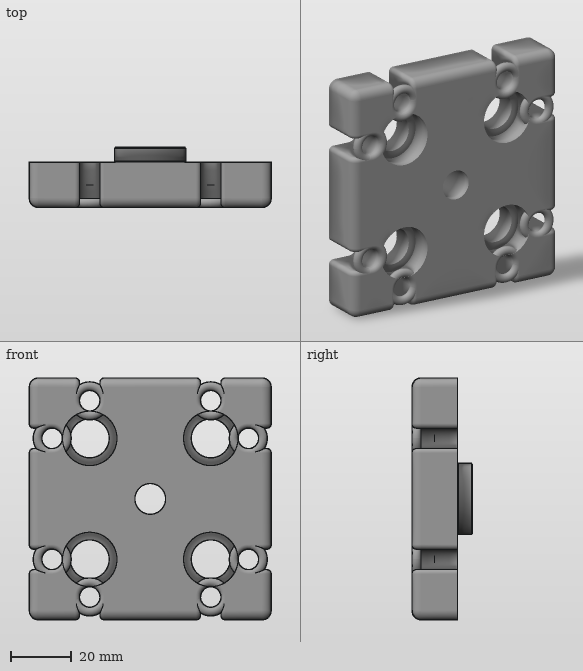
import cadquery as cq

plate_width = 80.0
plate_thickness = 15.0
plate_rounding = 3.0
center_hole_diameter = 10.1

hole_offset = 20.0
hole_diameter = 12.8
counterbore_diameter = 18.0
counterbore_depth = 7.5

slot_width = 6.6
slot_end_inset = 7.6
slot_rounding = 1.5

bead_clearance = 0.04
bead_tube_radius = slot_rounding - bead_clearance
bead_ring_radius = slot_width / 2 + slot_rounding

overall_depth = 20.0
collar_diameter = 23.7
collar_bore_diameter = 11.8
collar_edge_chamfer = 0.4
collar_bore_chamfer = 0.8

half_width = plate_width / 2
slot_center_offset = half_width - slot_end_inset

hole_centers = [(x, z) for x in (-hole_offset, hole_offset) for z in (-hole_offset, hole_offset)]
side_angles = (0, 90, 180, 270)


def cylinder(center, diameter, start, length):
    """Cylinder along +Y from depth start, centred on an (x, z) point."""
    x, z = center
    return cq.Solid.makeCylinder(diameter / 2, length, cq.Vector(x, start, z), cq.Vector(0, 1, 0))


def on_every_side(shape):
    """Copies of a shape made at the top side, one for each side of the plate."""
    return [shape.rotate(cq.Vector(0, 0, 0), cq.Vector(0, 1, 0), angle) for angle in side_angles]


def rounded_block():
    """Square block with rounded corners and a rounded front edge; the back edge stays sharp."""
    block = cq.Workplane("XY").box(plate_width, plate_thickness, plate_width, centered=(True, False, True))
    return block.edges("|Y or <Y").fillet(plate_rounding)


def slot_cutter(x):
    """Round-ended slot that opens through the top side at the given x."""
    end = cylinder((x, slot_center_offset), slot_width, 0, plate_thickness)
    channel = cq.Solid.makeBox(
        slot_width, plate_thickness, slot_end_inset, cq.Vector(x - slot_width / 2, 0, slot_center_offset)
    )
    return end.fuse(channel).clean()


def bead(x):
    """Full ring, concentric with the rounding, around the end of the top slot at the given x."""
    return cq.Solid.makeTorus(
        bead_ring_radius,
        bead_tube_radius,
        cq.Vector(x, slot_rounding, slot_center_offset),
        cq.Vector(0, 1, 0),
    )


def make_plate():
    """Plate with its slots, beads, stepped holes and central hole, as one solid."""
    slots = []
    beads = []
    for x in (-hole_offset, hole_offset):
        slots += on_every_side(slot_cutter(x))
        beads += on_every_side(bead(x))

    plate = rounded_block()
    for slot in slots:
        plate = plate.cut(slot)

    plate = plate.faces("<Y").edges("%CIRCLE").fillet(slot_rounding)

    plate = plate.cut(cylinder((0, 0), center_hole_diameter, 0, plate_thickness))
    for center in hole_centers:
        plate = plate.cut(cylinder(center, hole_diameter, 0, plate_thickness))
        plate = plate.cut(cylinder(center, counterbore_diameter, 0, counterbore_depth))

    for ring in beads:
        plate = plate.union(ring)
    return plate.solids()


def make_collar():
    """Ring on the back face: both outer edges chamfered, and the bore chamfered at its open end."""
    outer_radius = collar_diameter / 2
    bore_radius = collar_bore_diameter / 2
    half_section = [
        (-bore_radius, plate_thickness),
        (collar_edge_chamfer - outer_radius, plate_thickness),
        (-outer_radius, plate_thickness + collar_edge_chamfer),
        (-outer_radius, overall_depth - collar_edge_chamfer),
        (collar_edge_chamfer - outer_radius, overall_depth),
        (-bore_radius - collar_bore_chamfer, overall_depth),
        (-bore_radius, overall_depth - collar_bore_chamfer),
    ]
    return cq.Workplane("XY").polyline(half_section).close().revolve(360, (0, 0), (0, 1))


plate = make_plate()
collar = make_collar()

result = cq.Compound.makeCompound([plate.val(), collar.val()])